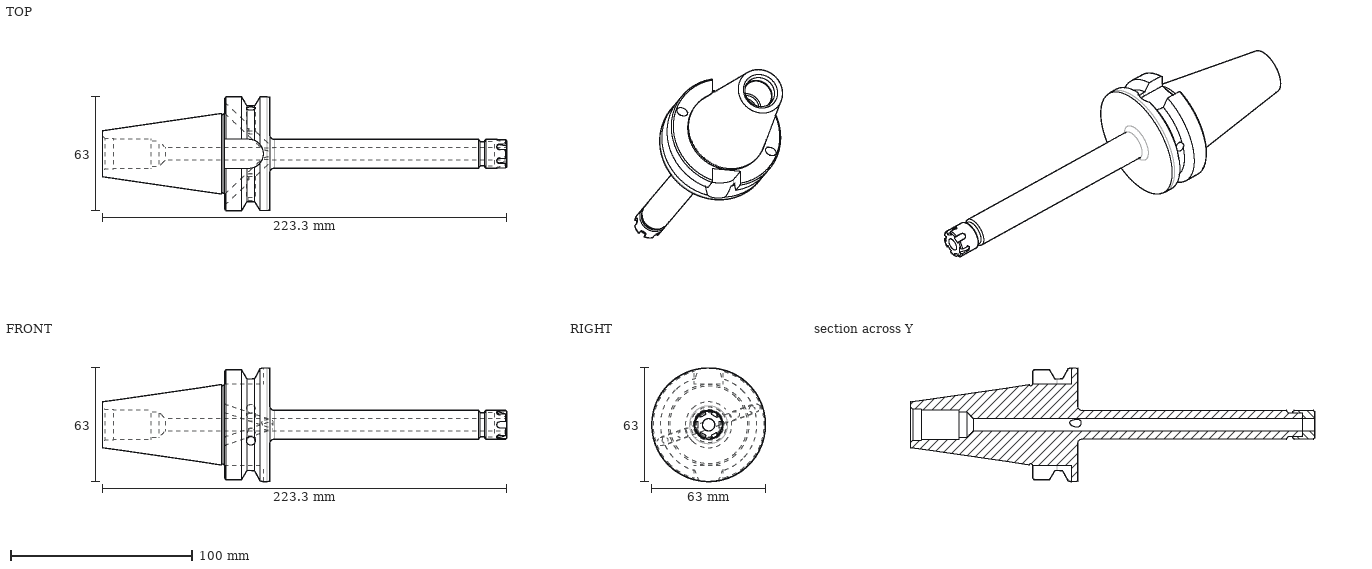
import cadquery as cq
import math


taper_length = 65.7
taper_large_radius = 22.3
taper_slope = 7 / 48
taper_small_radius = taper_large_radius - taper_length * taper_slope
relief_depth = 1.0

flange_start = 67.5
flange_end = 92.5
flange_radius = 31.5
flange_chamfer = 1.0
flange_back_chamfer = 0.2
flange_back_chamfer_length = 1.5
groove_center = 82.0
groove_top_width = 10.3
groove_floor_width = 4.2
groove_floor_radius = 26.5

keyway_width = 16.0
keyway_floor = 22.5
keyway_end = 88.9

coolant_hole_radius = 2.2
coolant_entry_offset = 27.0
coolant_slant = 45
coolant_turn = 19.6
plug_hole_radius = 2.5
plug_hole_bottom = coolant_entry_offset - (groove_center - flange_start) * math.tan(math.radians(coolant_slant))

shank_radius = 8.0
shank_fillet = 2.5
shank_end = 208.5
shank_chamfer = 1.0
nose_radius = 6.7
nose_end = 216.5

bore_mouth_radius = 9.8
guide_radius = 8.5
guide_depth = 6.0
thread_radius = 8.0
thread_depth = 26.8
drill_radius = 7.0
drill_depth = 31.3
through_radius = 3.3

nut_start = 211.0
nut_end = 223.3
nut_radius = shank_radius
nut_chamfer = 0.7
nut_slot_count = 6
nut_slot_width = 3.3
nut_slot_start = 217.7
nut_slot_start_floor = 7.5
nut_slot_end_floor = 5.8


def x_cylinder(radius, start, end):
    """Cylinder about the X axis between two stations."""
    return cq.Workplane("YZ").workplane(offset=start).circle(radius).extrude(end - start)


def revolve_about_x(profile):
    return profile.close().revolve(360, (0, 0, 0), (1, 0, 0))


def holder_blank():
    """Turned outside of the holder: taper, relief, flange, shank and nose."""
    profile = (
        cq.Workplane("XY")
        .lineTo(0, taper_small_radius)
        .lineTo(taper_length, taper_large_radius)
        .lineTo((taper_length + flange_start) / 2, taper_large_radius - relief_depth)
        .lineTo(flange_start, taper_large_radius)
        .lineTo(flange_start, flange_radius - flange_chamfer)
        .lineTo(flange_start + flange_chamfer, flange_radius)
        .lineTo(groove_center - groove_top_width / 2, flange_radius)
        .lineTo(groove_center - groove_floor_width / 2, groove_floor_radius)
        .lineTo(groove_center + groove_floor_width / 2, groove_floor_radius)
        .lineTo(groove_center + groove_top_width / 2, flange_radius)
        .lineTo(flange_end - flange_back_chamfer_length, flange_radius)
        .lineTo(flange_end, flange_radius - flange_back_chamfer)
        .lineTo(flange_end, shank_radius + shank_fillet)
        .radiusArc((flange_end + shank_fillet, shank_radius), -shank_fillet)
        .lineTo(shank_end - shank_chamfer, shank_radius)
        .lineTo(shank_end, nose_radius)
        .lineTo(nose_end, nose_radius)
        .lineTo(nose_end, 0)
    )
    return revolve_about_x(profile)


def holder_bore():
    """Pull stud bore with a chamfered mouth, a conical bottom and a through hole."""
    profile = (
        cq.Workplane("XY")
        .lineTo(0, bore_mouth_radius)
        .lineTo(bore_mouth_radius - guide_radius, guide_radius)
        .lineTo(guide_depth, guide_radius)
        .lineTo(guide_depth, thread_radius)
        .lineTo(thread_depth, thread_radius)
        .lineTo(thread_depth, drill_radius)
        .lineTo(drill_depth, drill_radius)
        .lineTo(drill_depth + drill_radius - through_radius, through_radius)
        .lineTo(nose_end, through_radius)
        .lineTo(nose_end, 0)
    )
    return revolve_about_x(profile)


def keyway():
    """Cutter for the keyway on the +Z side."""
    half_width = keyway_width / 2
    return (
        cq.Workplane("XY")
        .workplane(offset=keyway_floor)
        .moveTo(taper_length, -half_width)
        .lineTo(keyway_end - half_width, -half_width)
        .threePointArc((keyway_end, 0), (keyway_end - half_width, half_width))
        .lineTo(taper_length, half_width)
        .close()
        .extrude(flange_radius)
    )


def coolant_passage():
    """Cutter for one slanted coolant hole and its plug hole, on the +Y side."""
    slant = math.radians(coolant_slant)
    inward = cq.Vector(math.cos(slant), -math.sin(slant), 0)
    entry = cq.Vector(flange_start, coolant_entry_offset, 0)
    overrun = 2 * coolant_hole_radius
    slanted = cq.Solid.makeCylinder(
        coolant_hole_radius,
        coolant_entry_offset / math.sin(slant) + overrun,
        entry - inward * overrun,
        inward,
    )
    plug = cq.Solid.makeCylinder(
        plug_hole_radius,
        flange_radius - plug_hole_bottom,
        cq.Vector(groove_center, plug_hole_bottom, 0),
        cq.Vector(0, 1, 0),
    )
    return cq.Workplane(slanted).union(cq.Workplane(plug)).rotate((0, 0, 0), (1, 0, 0), coolant_turn)


def make_holder():
    holder = holder_blank().cut(holder_bore())
    for turn in (0, 180):
        holder = holder.cut(keyway().rotate((0, 0, 0), (1, 0, 0), turn))
        holder = holder.cut(coolant_passage().rotate((0, 0, 0), (1, 0, 0), turn))
    return holder


def nut_slot():
    """Cutter for the round-ended wrench slot on the -Y side, deepening towards the nut face."""
    half_width = nut_slot_width / 2
    outline = (
        cq.Workplane("XZ")
        .moveTo(nut_end, -half_width)
        .lineTo(nut_slot_start + half_width, -half_width)
        .threePointArc((nut_slot_start, 0), (nut_slot_start + half_width, half_width))
        .lineTo(nut_end, half_width)
        .close()
        .extrude(nut_radius)
    )
    depth = (
        cq.Workplane("XY")
        .workplane(offset=-half_width)
        .moveTo(nut_slot_start, -nut_slot_start_floor)
        .lineTo(nut_end, -nut_slot_end_floor)
        .lineTo(nut_end, -nut_radius)
        .lineTo(nut_slot_start, -nut_radius)
        .close()
        .extrude(nut_slot_width)
    )
    return outline.intersect(depth)


def make_nut():
    nut = x_cylinder(nut_radius, nut_start, nut_end).edges().chamfer(nut_chamfer)
    nut = nut.cut(x_cylinder(nose_radius, nut_start, nose_end))
    nut = nut.cut(x_cylinder(through_radius, nose_end, nut_end))
    for index in range(nut_slot_count):
        nut = nut.cut(nut_slot().rotate((0, 0, 0), (1, 0, 0), index * 360 / nut_slot_count))
    return nut


holder = make_holder().solids()
nut = make_nut().solids()
result = cq.Compound.makeCompound([holder.val(), nut.val()])